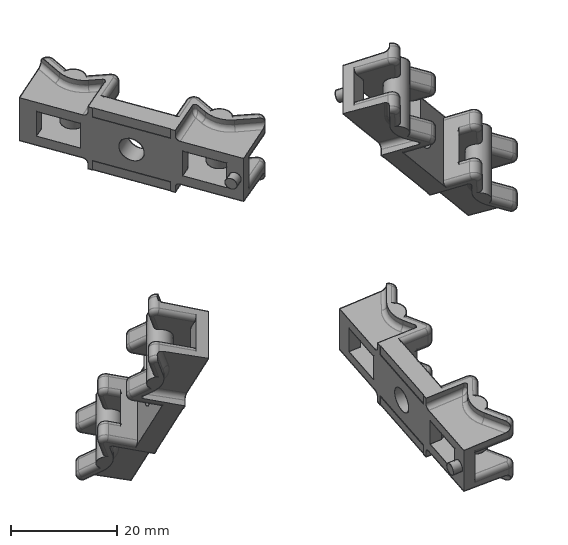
import cadquery as cq
import math

LENGTH = 46.0
WIDTH = 15.0
PLATE_THICKNESS = 2.5
BRIDGE_HEIGHT = 4.1
EDGE_RADIUS = 1.0
CENTER_HOLE_DIAMETER = 5.2

CRADLE_LENGTH = 16.0
CHEEK_GAP = 6.0
CHEEK_TOP = 11.4
TIP_RADIUS = 1.5
SEAT_ANGLE = math.radians(30)
ROD_DIAMETER = 5.0
ROD_HEIGHT = 7.0
WINDOW_LENGTH = 9.0
RAMP_TOP = 7.5

RIM_WIDTH = 2.0
POCKET_BEND_RADIUS = 6.0
POCKET_CORNER_RADIUS = 0.5
POCKET_FLOOR_Z = 5.2
POCKET_DRAFT = math.radians(1.5)

LABEL_INNER_Z = 5.3
LABEL_DEPTH = 0.1
PIN_DIAMETER = 2.5
PIN_LENGTH = 2.0
PIN_X = 21.25

CRADLE_OUTER_X = -LENGTH / 2
CRADLE_INNER_X = CRADLE_OUTER_X + CRADLE_LENGTH
CRADLE_X = CRADLE_OUTER_X + CRADLE_LENGTH / 2
BRIDGE_LENGTH = LENGTH - 2 * (CRADLE_LENGTH - EDGE_RADIUS)
WINDOW_INNER_X = CRADLE_X + WINDOW_LENGTH / 2
GAP_HALF = CHEEK_GAP / 2
HALF_WIDTH = WIDTH / 2
CLEARANCE = 2.3

SEAT_SLOPE = math.tan(SEAT_ANGLE)
SHARP_TIP_Y = CHEEK_TOP - TIP_RADIUS + TIP_RADIUS / math.cos(SEAT_ANGLE) + TIP_RADIUS * SEAT_SLOPE
SEAT_BOTTOM_Y = SHARP_TIP_Y - SEAT_SLOPE * CRADLE_LENGTH / 2


def box(x_min, x_max, y_min, y_max, z_min, z_max):
    size = (x_max - x_min, y_max - y_min, z_max - z_min)
    return cq.Workplane("XY").box(*size, centered=False).translate((x_min, y_min, z_min))


def make_cheek():
    """The +Z cheek of the left cradle, with every edge rounded above the plate."""
    outline = [
        (CRADLE_OUTER_X, PLATE_THICKNESS),
        (CRADLE_INNER_X, PLATE_THICKNESS),
        (CRADLE_INNER_X, SHARP_TIP_Y),
        (CRADLE_X, SEAT_BOTTOM_Y),
        (CRADLE_OUTER_X, SHARP_TIP_Y),
    ]
    cheek = cq.Workplane("XY").workplane(offset=GAP_HALF).polyline(outline).close()
    cheek = cheek.extrude(HALF_WIDTH - GAP_HALF)
    cheek = cheek.edges("|Z and (<X or >X)").edges(">Y").fillet(TIP_RADIUS)
    return cheek.faces("|Z").edges("not(<Y)").fillet(EDGE_RADIUS)


def make_pocket():
    """Cutter for the outer face of the cheek; it leaves a rim below the V and beside the bridge."""
    wall_x = CRADLE_INNER_X - RIM_WIDTH
    bend_y = SEAT_BOTTOM_Y - RIM_WIDTH / math.cos(SEAT_ANGLE)
    outer_x = CRADLE_OUTER_X - CLEARANCE

    def seat_line(x):
        return bend_y + SEAT_SLOPE * abs(x - CRADLE_X)

    def floor_z(y):
        return POCKET_FLOOR_Z + math.tan(POCKET_DRAFT) * y

    bend_half = POCKET_BEND_RADIUS * math.sin(SEAT_ANGLE)
    bend_low_y = bend_y + POCKET_BEND_RADIUS * (1 / math.cos(SEAT_ANGLE) - 1)
    prism = (
        cq.Workplane("XY")
        .moveTo(outer_x, -CLEARANCE)
        .lineTo(wall_x, -CLEARANCE)
        .lineTo(wall_x, seat_line(wall_x))
        .lineTo(CRADLE_X + bend_half, seat_line(CRADLE_X + bend_half))
        .threePointArc((CRADLE_X, bend_low_y), (CRADLE_X - bend_half, seat_line(CRADLE_X - bend_half)))
        .lineTo(outer_x, seat_line(outer_x))
        .close()
        .extrude(WIDTH)
    )
    inner_corner = cq.selectors.NearestToPointSelector((wall_x, seat_line(wall_x), HALF_WIDTH))
    prism = prism.edges("|Z").edges(inner_corner).fillet(POCKET_CORNER_RADIUS)
    below_floor = (
        cq.Workplane("YZ")
        .polyline([(-WIDTH, -WIDTH), (WIDTH, -WIDTH), (WIDTH, floor_z(WIDTH)), (-WIDTH, floor_z(-WIDTH))])
        .close()
        .extrude(LENGTH, both=True)
    )
    pocket = prism.cut(below_floor)
    return pocket.faces("<Z").edges("not(<X or <Y)").fillet(EDGE_RADIUS)


def make_cradle():
    """Left cradle: two cheeks, the cross rod and the sloped inner wall."""
    cheek = make_cheek()
    rod = cq.Workplane("XY").center(CRADLE_X, ROD_HEIGHT).circle(ROD_DIAMETER / 2)
    rod = rod.extrude(HALF_WIDTH, both=True)
    ramp = (
        cq.Workplane("XY")
        .polyline([
            (WINDOW_INNER_X, PLATE_THICKNESS),
            (CRADLE_INNER_X, PLATE_THICKNESS),
            (CRADLE_INNER_X, RAMP_TOP),
        ])
        .close()
        .extrude(GAP_HALF + EDGE_RADIUS, both=True)
    )
    return cheek.union(cheek.mirror("XY")).union(rod).union(ramp)


def cut_cradle_openings(body):
    """Window through the plate and both side pockets of the left cradle."""
    window = box(
        WINDOW_INNER_X - WINDOW_LENGTH, WINDOW_INNER_X, -CLEARANCE, PLATE_THICKNESS, -GAP_HALF, GAP_HALF
    )
    pocket = make_pocket()
    return body.cut(window).cut(pocket).cut(pocket.mirror("XY"))


half = box(CRADLE_OUTER_X, 0, 0, PLATE_THICKNESS, -HALF_WIDTH, HALF_WIDTH)
half = half.union(box(-BRIDGE_LENGTH / 2, 0, 0, BRIDGE_HEIGHT, -HALF_WIDTH, HALF_WIDTH))
half = cut_cradle_openings(half.union(make_cradle()))
body = half.union(half.mirror("YZ"))

hole = cq.Workplane("XZ").circle(CENTER_HOLE_DIAMETER / 2).extrude(LENGTH, both=True)
body = body.cut(hole)

label = box(
    -BRIDGE_LENGTH / 2, BRIDGE_LENGTH / 2, -CLEARANCE, LABEL_DEPTH, LABEL_INNER_Z, HALF_WIDTH + CLEARANCE
)
body = body.cut(label).cut(label.mirror("XY"))

pin = cq.Workplane("XZ").center(PIN_X, 0).circle(PIN_DIAMETER / 2).extrude(PIN_LENGTH)
result = body.union(pin)